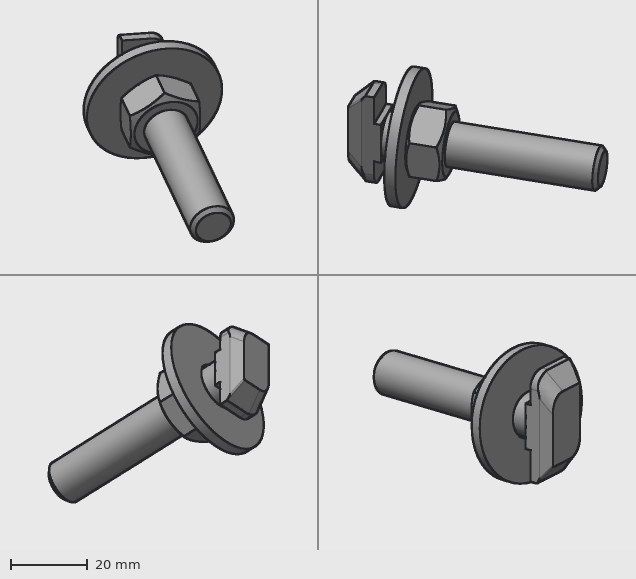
import cadquery as cq
import math

total_length = 67.5
shaft_diameter = 12.0
shaft_radius = shaft_diameter / 2
shaft_end_chamfer = 1.2

head_thickness = 7.35
head_half_length = 15.8
end_skew = 10.0
head_corner_radius = 5.0
sharp_corner_radius = 0.4
side_taper_depth = 3.9
side_taper_angle = 15.0
end_taper_depth = 5.0
end_taper_angle = 45.0

neck_end = 9.2
neck_half_length = 7.2

washer_diameter = 37.0
washer_hole_diameter = 12.95
washer_start = 13.4
washer_thickness = 3.05

nut_start = washer_start + washer_thickness
nut_thickness = 10.0
nut_across_flats = 19.0
nut_corner_radius = nut_across_flats / math.sqrt(3)
nut_face_radius = 8.65
nut_chamfer_angle = 30.0


def tan_deg(angle):
    return math.tan(math.radians(angle))


def skewed_outline(half_width, half_length):
    """Corners (y, z) of a parallelogram; half_length is measured to its acute tips."""
    short_half_length = half_length - 2 * half_width * tan_deg(end_skew)
    return [
        (-half_width, half_length),
        (half_width, short_half_length),
        (half_width, -half_length),
        (-half_width, -short_half_length),
    ]


def cylinder(start, length, diameter):
    return cq.Workplane("YZ", origin=(start, 0, 0)).circle(diameter / 2).extrude(length)


def tapered_outline(x):
    """Outline where the extended taper planes cross the plane at the given x."""
    half_width = shaft_radius + (x - side_taper_depth) * tan_deg(side_taper_angle)
    end_offset = (x - end_taper_depth) * tan_deg(end_taper_angle) / math.cos(math.radians(end_skew))
    tip_shift = (shaft_radius - half_width) * tan_deg(end_skew)
    return skewed_outline(half_width, head_half_length + end_offset - tip_shift)


def corner_selector(y_sign, z_sign):
    """Select the edges centred in one quadrant of the head."""
    reach = head_half_length * 2
    return cq.selectors.BoxSelector((0, 0, 0), (head_thickness, y_sign * reach, z_sign * reach))


def make_head():
    obtuse_corners = corner_selector(1, 1) + corner_selector(-1, -1)
    acute_corners = corner_selector(1, -1) + corner_selector(-1, 1)
    prism = (
        cq.Workplane("YZ")
        .polyline(skewed_outline(shaft_radius, head_half_length))
        .close()
        .extrude(head_thickness)
        .edges("|X")
        .edges(obtuse_corners)
        .fillet(head_corner_radius)
    )
    taper = (
        cq.Workplane("YZ")
        .polyline(tapered_outline(0))
        .close()
        .workplane(offset=head_thickness)
        .polyline(tapered_outline(head_thickness))
        .close()
        .loft(ruled=True)
    )
    lengthwise = "not(<X or >X)"
    taper = taper.edges(lengthwise).edges(obtuse_corners).fillet(head_corner_radius)
    taper = taper.edges(lengthwise).edges(acute_corners).fillet(sharp_corner_radius)
    return prism.intersect(taper)


def make_neck():
    outline = skewed_outline(shaft_radius, neck_half_length)
    neck_length = neck_end - head_thickness
    return cq.Workplane("YZ", origin=(head_thickness, 0, 0)).polyline(outline).close().extrude(neck_length)


def make_shaft():
    shaft = cylinder(neck_end, total_length - neck_end, shaft_diameter)
    return shaft.faces(">X").chamfer(shaft_end_chamfer)


def make_washer():
    washer = cylinder(washer_start, washer_thickness, washer_diameter)
    return washer.cut(cylinder(washer_start, washer_thickness, washer_hole_diameter))


def make_nut():
    corners = [
        (nut_corner_radius * math.sin(math.radians(angle)), nut_corner_radius * math.cos(math.radians(angle)))
        for angle in range(0, 360, 60)
    ]
    hexagon = cq.Workplane("YZ", origin=(nut_start, 0, 0)).polyline(corners).close().extrude(nut_thickness)
    chamfer_depth = (nut_corner_radius - nut_face_radius) * tan_deg(nut_chamfer_angle)
    nut_end = nut_start + nut_thickness
    bevel = (
        cq.Workplane("XY")
        .moveTo(nut_start, 0)
        .lineTo(nut_start, nut_face_radius)
        .lineTo(nut_start + chamfer_depth, nut_corner_radius)
        .lineTo(nut_end - chamfer_depth, nut_corner_radius)
        .lineTo(nut_end, nut_face_radius)
        .lineTo(nut_end, 0)
        .close()
        .revolve(360, (0, 0, 0), (1, 0, 0))
    )
    return hexagon.intersect(bevel)


result = make_head().union(make_neck()).union(make_shaft()).union(make_nut()).union(make_washer())